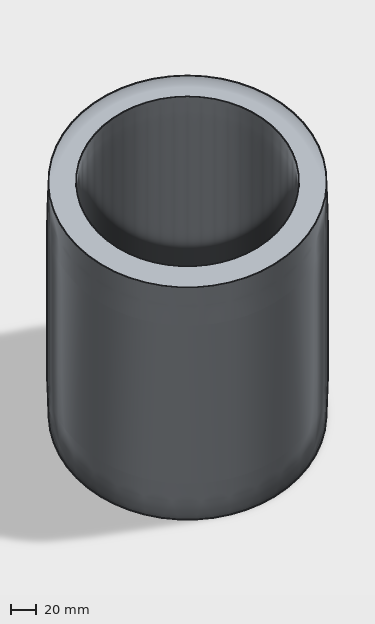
import cadquery as cq

length = 279.5
outer_diameter = 219.0
bore_diameter = 173.8

end_diameter = 216.8
taper_length = 44.7

outer_radius = outer_diameter / 2
bore_radius = bore_diameter / 2
end_radius = end_diameter / 2

wall_profile = (
    cq.Workplane("XZ")
    .moveTo(bore_radius, 0)
    .lineTo(end_radius, 0)
    .lineTo(outer_radius, taper_length)
    .lineTo(outer_radius, length - taper_length)
    .lineTo(end_radius, length)
    .lineTo(bore_radius, length)
    .close()
)

result = wall_profile.revolve(360, (0, 0, 0), (0, 1, 0))